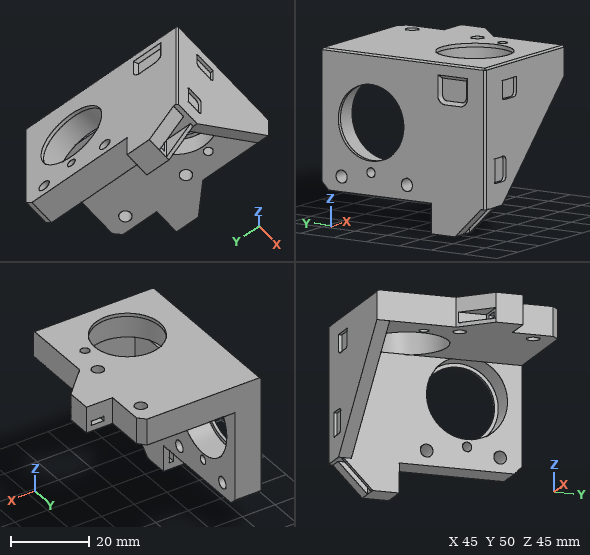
import cadquery as cq


depth = 50.0
reach = 45.0
plate = 8.0
front_wall = 3.5
body = reach - plate
edge_chamfer = 0.5
corner_cut = 2.0

bearing_from_edge = 18.0
bearing_to_front = 15.0
bearing_radius = 10.0
bearing_seat_radius = 11.0
bearing_lip = 1.0
pin_from_edge = 31.0
pin_radius = 1.25
screw_from_edge = 33.0
screw_radius = 1.7
screw_positions = (24.0, 44.0)

tab_length = 15.3
tab_size = reach - body
top_tab_front = 21.6
side_tab_front = 1.3
tab_slot_center = 5.5
tab_pocket_width = 2.8
tab_slot_width = 1.3
tab_slot_length = 3.8
top_tab_pocket_start = 0.5
top_tab_slot_start = 2.65
side_tab_pocket_start = 0.0
side_tab_slot_start = 2.15

recess_depth = 0.9
front_recess_width = 6.5
front_recess_height = 5.1
front_recess_radius = 1.1
front_recess_upper = (11.25, 0, -4.45)
front_recess_lower = (4.5, 0, -27.55)
side_recess_width = 9.1
side_recess_height = 7.6
side_recess_radius = 2.3
side_recess_edge = (0, 10.0, -3.2)
side_recess_flare = 45.0


def to_side_plate(top_shape):
    """Mirror a top plate shape onto the side plate, swapping +X with -Z."""
    return top_shape.mirror((1, 0, 1))


def make_body():
    """Both plates and the front wall, with outer edges chamfered and rear corners cut."""
    plates = (
        cq.Workplane("XZ")
        .polyline([(0, 0), (body, 0), (body, -plate), (plate, -plate), (plate, -body), (0, -body)])
        .close()
        .extrude(-depth)
    )
    wall = (
        cq.Workplane("XZ")
        .polyline([(0, 0), (body, 0), (body, -plate), (plate, -body), (0, -body)])
        .close()
        .extrude(-front_wall)
    )
    solid = plates.union(wall)
    shared_edges = (
        cq.selectors.NearestToPointSelector((0, depth / 2, 0))
        + cq.selectors.NearestToPointSelector((body / 2, 0, 0))
        + cq.selectors.NearestToPointSelector((0, 0, -body / 2))
    )
    solid = solid.edges(shared_edges).chamfer(edge_chamfer)
    corner = (
        cq.Workplane("XY")
        .polyline([(body - corner_cut, depth), (body, depth), (body, depth - corner_cut)])
        .close()
        .extrude(-plate)
    )
    return solid.cut(corner).cut(to_side_plate(corner))


def make_tab(front, pocket_start, slot_start):
    """Top plate tab with a sloped front, a pocket open to the slope and a slot through the pocket floor."""
    outer = cq.Workplane("XY").workplane(origin=(0, front, 0))
    tab = (
        outer
        .polyline([(body, 0), (reach, tab_size), (reach, tab_length), (body, tab_length)])
        .close()
        .extrude(-plate)
    )
    centre = outer.workplane(offset=-tab_slot_center)
    pocket = (
        centre.moveTo(body + pocket_start, 0)
        .rect(tab_size, tab_size, centered=False)
        .extrude(tab_pocket_width / 2, both=True)
    )
    slot = (
        centre.moveTo(body + slot_start, 0)
        .rect(tab_slot_length, tab_length, centered=False)
        .extrude(tab_slot_width / 2, both=True)
    )
    return tab.cut(pocket).cut(slot)


def plate_holes(bearing_y):
    """Cutters for the holes of the top plate."""
    outer = cq.Workplane("XY")
    bearing = outer.center(bearing_from_edge, bearing_y).circle(bearing_radius).extrude(-plate)
    seat = (
        outer.workplane(offset=-bearing_lip)
        .center(bearing_from_edge, bearing_y)
        .circle(bearing_seat_radius)
        .extrude(bearing_lip - plate)
    )
    pin = outer.center(pin_from_edge, bearing_y).circle(pin_radius).extrude(-plate)
    screws = (
        outer.pushPoints([(screw_from_edge, y) for y in screw_positions])
        .circle(screw_radius)
        .extrude(-plate)
    )
    return bearing.union(seat).union(pin).union(screws)


def d_outline(workplane, width, height, radius):
    """D outline: square corners at local y = 0, rounded corners at y = -height."""
    half = width / 2
    return (
        workplane.moveTo(-half, 0)
        .lineTo(half, 0)
        .lineTo(half, radius - height)
        .radiusArc((half - radius, -height), radius)
        .lineTo(radius - half, -height)
        .radiusArc((-half, radius - height), radius)
        .close()
    )


def front_recess(middle, x_direction):
    """Straight-walled recess in the front wall; x_direction runs along its square-cornered edge."""
    frame = cq.Plane(origin=middle, xDir=x_direction, normal=(0, -1, 0))
    outline = d_outline(cq.Workplane(frame), front_recess_width, front_recess_height, front_recess_radius)
    return outline.extrude(-recess_depth)


def side_recess():
    """Recess in the side plate whose walls flare outwards."""
    frame = cq.Plane(origin=side_recess_edge, xDir=(0, -1, 0), normal=(-1, 0, 0))
    outline = d_outline(cq.Workplane(frame), side_recess_width, side_recess_height, side_recess_radius)
    return outline.extrude(-recess_depth, taper=side_recess_flare)


top_tab = make_tab(top_tab_front, top_tab_pocket_start, top_tab_slot_start)
side_tab = to_side_plate(make_tab(side_tab_front, side_tab_pocket_start, side_tab_slot_start))
top_holes = plate_holes(bearing_to_front)
side_holes = to_side_plate(plate_holes(depth - bearing_to_front))

result = (
    make_body()
    .union(top_tab)
    .union(side_tab)
    .cut(top_holes)
    .cut(side_holes)
    .cut(front_recess(front_recess_upper, (1, 0, 0)))
    .cut(front_recess(front_recess_lower, (0, 0, 1)))
    .cut(side_recess())
)